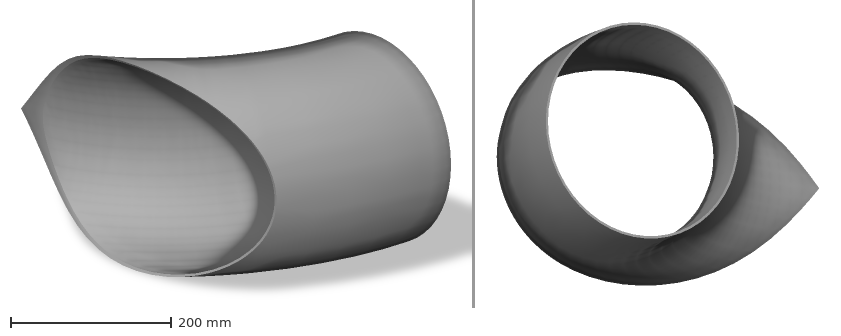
import cadquery as cq


outer_reach = 517.5
tube_radius = 136.5
wall = 3.0
bend_radius = outer_reach - tube_radius
inner_reach = bend_radius - tube_radius
bend_angle = 90.0

main_pipe_radius = 228.0
main_pipe_y = -(inner_reach + main_pipe_radius)
cutter_margin = 52.0


def bent_tube():
    """Quarter bend running from the flat end at Y = 0 down to the -Y axis."""
    return (
        cq.Workplane("XZ")
        .center(bend_radius, 0)
        .circle(tube_radius)
        .circle(tube_radius - wall)
        .revolve(bend_angle, (-bend_radius, 0), (-bend_radius, -1))
    )


def main_pipe():
    """Solid cylinder along X that shapes the saddle cut; its seam faces away from the elbow."""
    end_plane = cq.Plane(
        origin=(-cutter_margin, main_pipe_y, 0),
        xDir=(0, -1, 0),
        normal=(1, 0, 0),
    )
    cutter_length = outer_reach + 2 * cutter_margin
    return cq.Workplane(end_plane).circle(main_pipe_radius).extrude(cutter_length)


result = bent_tube().cut(main_pipe())